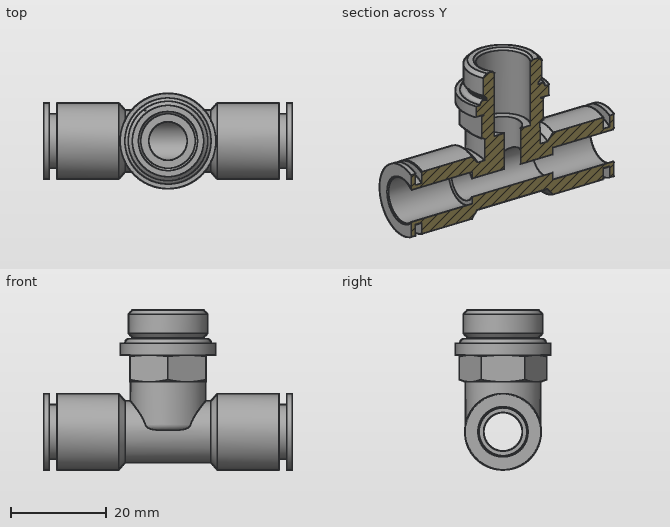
import cadquery as cq
import math

half_length = 26.0
end_flange_width = 1.2
groove_width = 1.5
socket_length = 12.95
socket_taper_length = 1.4
socket_d = 16.0
socket_edge_chamfer = 0.15
groove_d = 11.5
run_d = 13.0

passage_d = 8.0
tube_bore_d = 10.0
tube_mouth_d = 10.5
tube_mouth_depth = 0.25

stem_d = 15.8
stem_bottom_z = 0.35
stem_edge_radius = 1.15
hex_across_flats = 15.9
hex_bottom_z = 10.45
hex_top_z = 16.0
hex_bottom_chamfer = 0.45
hex_top_chamfer = 0.25
flange_d = 20.0
flange_top_z = 18.55
seal_d = 18.05
seal_section_radius = 0.95
spigot_d = 16.65
spigot_neck_d = 14.9
spigot_bottom_z = 19.7
spigot_top_z = 25.5

branch_bore_d = 11.4
branch_mouth_d = 12.4

flange_inner_x = half_length - end_flange_width
socket_outer_x = flange_inner_x - groove_width
socket_inner_x = socket_outer_x - socket_length
taper_inner_x = socket_inner_x - socket_taper_length
hex_corner_d = hex_across_flats / math.cos(math.radians(30))
spigot_chamfer = (spigot_d - spigot_neck_d) / 2
seal_ring_radius = seal_d / 2 - seal_section_radius
branch_mouth_chamfer = (branch_mouth_d - branch_bore_d) / 2


def cylinder_z(diameter, bottom_z, top_z):
    """Cylinder on the Z axis between two heights."""
    return cq.Workplane("XY").workplane(offset=bottom_z).circle(diameter / 2).extrude(top_z - bottom_z)


def run():
    """Outside of the run, the same on both sides of the branch axis."""
    right_outline = [
        (taper_inner_x, run_d / 2),
        (socket_inner_x, socket_d / 2),
        (socket_outer_x - socket_edge_chamfer, socket_d / 2),
        (socket_outer_x, socket_d / 2 - socket_edge_chamfer),
        (socket_outer_x, groove_d / 2),
        (flange_inner_x, groove_d / 2),
        (flange_inner_x, socket_d / 2),
        (half_length, socket_d / 2),
        (half_length, 0),
    ]
    left_outline = [(-x, radius) for x, radius in reversed(right_outline)]
    outline = left_outline + right_outline
    return cq.Workplane("XY").polyline(outline).close().revolve(360, (0, 0, 0), (1, 0, 0))


def tube_bore():
    """Bore of the +X socket with its tapered mouth."""
    outline = [
        (socket_inner_x, 0),
        (socket_inner_x, tube_bore_d / 2),
        (half_length - tube_mouth_depth, tube_bore_d / 2),
        (half_length, tube_mouth_d / 2),
        (half_length, 0),
    ]
    return cq.Workplane("XY").polyline(outline).close().revolve(360, (0, 0, 0), (1, 0, 0))


def hexagon():
    """Hexagon with corners on the Y axis, both ends chamfered by turning."""
    prism = (
        cq.Workplane("XY").workplane(offset=hex_bottom_z)
        .transformed(rotate=(0, 0, 90))
        .polygon(6, hex_corner_d)
        .extrude(hex_top_z - hex_bottom_z)
    )
    turned_outline = [
        (0, hex_bottom_z),
        (hex_across_flats / 2, hex_bottom_z),
        (hex_corner_d / 2, hex_bottom_z + hex_bottom_chamfer),
        (hex_corner_d / 2, hex_top_z - hex_top_chamfer),
        (hex_across_flats / 2, hex_top_z),
        (0, hex_top_z),
    ]
    turned = cq.Workplane("XZ").polyline(turned_outline).close().revolve(360, (0, 0, 0), (0, 1, 0))
    return prism.intersect(turned)


def branch():
    """Outside of the branch, from the stem up to the spigot."""
    stem = cylinder_z(stem_d, stem_bottom_z, hex_bottom_z).faces("<Z").edges().fillet(stem_edge_radius)
    flange = cylinder_z(flange_d, hex_top_z, flange_top_z)
    seal = (
        cq.Workplane("XZ")
        .center(seal_ring_radius, flange_top_z)
        .circle(seal_section_radius)
        .revolve(360, (-seal_ring_radius, 0, 0), (-seal_ring_radius, 1, 0))
    )
    neck = cylinder_z(spigot_neck_d, flange_top_z, spigot_bottom_z)
    spigot = cylinder_z(spigot_d, spigot_bottom_z, spigot_top_z).edges().chamfer(spigot_chamfer)
    return stem.union(hexagon()).union(flange).union(seal).union(neck).union(spigot)


def branch_bore():
    """Wide branch bore with a chamfered mouth, narrowing to the run passage."""
    outline = [
        (0, 0),
        (passage_d / 2, 0),
        (passage_d / 2, hex_bottom_z),
        (branch_bore_d / 2, hex_bottom_z),
        (branch_bore_d / 2, spigot_top_z - branch_mouth_chamfer),
        (branch_mouth_d / 2, spigot_top_z),
        (0, spigot_top_z),
    ]
    return cq.Workplane("XZ").polyline(outline).close().revolve(360, (0, 0, 0), (0, 1, 0))


run_passage = cq.Workplane("YZ").workplane(offset=-half_length).circle(passage_d / 2).extrude(2 * half_length)

result = (
    run()
    .union(branch())
    .cut(run_passage)
    .cut(tube_bore())
    .cut(tube_bore().mirror("YZ"))
    .cut(branch_bore())
)